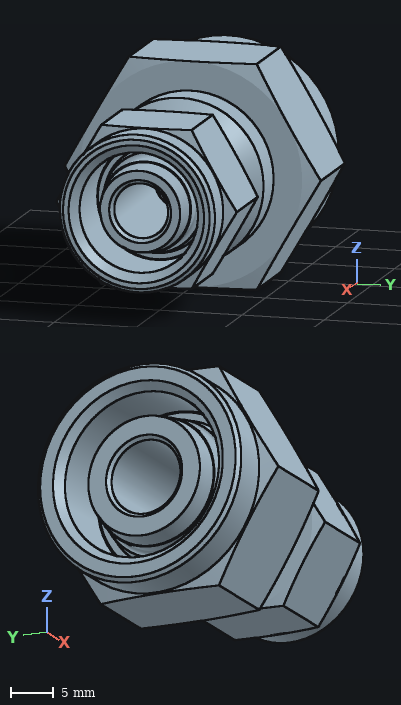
import cadquery as cq
import math

OVERALL_LENGTH = 40.0

LARGE_NUT = {
    "length": 16.5,
    "collar_length": 5.05,
    "across_flats": 27.0,
    "collar_radius": 13.35,
    "bore_radius": 10.1,
}
SMALL_NUT = {
    "length": 13.7,
    "collar_length": 3.95,
    "across_flats": 19.0,
    "collar_radius": 9.45,
    "bore_radius": 7.2,
}

HEX_SIDES = 6
HEX_CHAMFER_ANGLE = 15.0
LIP_CHAMFER_LENGTH = 0.45
LIP_CHAMFER_DEPTH = 0.5
MOUTH_CHAMFER = 1.05

LARGE_BARREL_RADIUS = 10.0
SMALL_BARREL_RADIUS = 7.1
SHOULDER_START = 20.8
SHOULDER_END = 23.7

NOSE_HALF_ANGLE = 12.0
NOSE_RECESS = 1.6
LARGE_TIP_RADIUS = 7.3
LARGE_CONE_BASE_RADIUS = 9.0
SMALL_TIP_RADIUS = 4.9
SMALL_CONE_BASE_RADIUS = 6.35
GROOVE_FRONT_RISE = 0.55
GROOVE_BACK_RISE = 1.15
GROOVE_FLOOR_RISE = 0.5
GROOVE_FILLET = 0.45

LARGE_BORE_RADIUS = 4.5
SMALL_BORE_RADIUS = 3.3
BORE_CHAMFER = 0.5
BORE_CONE_START = 20.0
BORE_CONE_LENGTH = 0.7


def cone_length(rise):
    """Axial length over which a nose cone gains the given radius."""
    return rise / math.tan(math.radians(NOSE_HALF_ANGLE))


def flip_to_small_end(shape):
    """Turn a shape built from x = 0 so that it starts at the small end instead."""
    return shape.rotate((0, 0, 0), (0, 0, 1), 180).translate((OVERALL_LENGTH, 0, 0))


def revolve(profile):
    """Close a profile in the XY plane and turn it round the X axis."""
    return profile.close().revolve(360, (0, 0, 0), (1, 0, 0))


def nose_start(cone_base_radius, tip_radius):
    """Distance from the end of the assembly to the flat face behind the nose."""
    return NOSE_RECESS + cone_length(cone_base_radius - tip_radius)


def make_nut(size, barrel_radius, shoulder):
    """Union nut with its collar at x = 0; behind x = shoulder it fits closely round the barrel."""
    inner_radius = size["across_flats"] / 2
    corner_radius = inner_radius / math.cos(math.pi / HEX_SIDES)
    chamfer_length = (corner_radius - inner_radius) * math.tan(math.radians(HEX_CHAMFER_ANGLE))
    hex_start = size["collar_length"]
    hex_end = size["length"]

    hexagon = (
        cq.Workplane("YZ")
        .polygon(HEX_SIDES, 2 * corner_radius)
        .extrude(hex_end - hex_start)
        .translate((hex_start, 0, 0))
    )
    corner_cutoff = revolve(
        cq.Workplane("XY")
        .moveTo(hex_start, 0)
        .lineTo(hex_start, inner_radius)
        .lineTo(hex_start + chamfer_length, corner_radius)
        .lineTo(hex_end - chamfer_length, corner_radius)
        .lineTo(hex_end, inner_radius)
        .lineTo(hex_end, 0)
    )
    collar = revolve(
        cq.Workplane("XY")
        .lineTo(0, size["collar_radius"] - LIP_CHAMFER_DEPTH)
        .lineTo(LIP_CHAMFER_LENGTH, size["collar_radius"])
        .lineTo(hex_start, size["collar_radius"])
        .lineTo(hex_start, 0)
    )
    bore = revolve(
        cq.Workplane("XY")
        .lineTo(0, size["bore_radius"] + MOUTH_CHAMFER)
        .lineTo(MOUTH_CHAMFER, size["bore_radius"])
        .lineTo(shoulder, size["bore_radius"])
        .lineTo(shoulder, barrel_radius)
        .lineTo(hex_end, barrel_radius)
        .lineTo(hex_end, 0)
    )
    return hexagon.intersect(corner_cutoff).union(collar).cut(bore)


def make_nose(tip_radius, base_radius):
    """Solid sealing cone with its tip at x = NOSE_RECESS, grooved for a seal ring."""
    groove_front = NOSE_RECESS + cone_length(GROOVE_FRONT_RISE)
    groove_back = NOSE_RECESS + cone_length(GROOVE_BACK_RISE)
    floor_radius = tip_radius + GROOVE_FLOOR_RISE
    corner_offset = GROOVE_FILLET * math.sin(math.radians(45))
    base = nose_start(base_radius, tip_radius)
    return revolve(
        cq.Workplane("XY")
        .moveTo(NOSE_RECESS, 0)
        .lineTo(NOSE_RECESS, tip_radius)
        .lineTo(groove_front, tip_radius + GROOVE_FRONT_RISE)
        .lineTo(groove_front, floor_radius)
        .lineTo(groove_back - GROOVE_FILLET, floor_radius)
        .threePointArc(
            (
                groove_back - GROOVE_FILLET + corner_offset,
                floor_radius + GROOVE_FILLET - corner_offset,
            ),
            (groove_back, floor_radius + GROOVE_FILLET),
        )
        .lineTo(groove_back, tip_radius + GROOVE_BACK_RISE)
        .lineTo(base, base_radius)
        .lineTo(base, 0)
    )


def make_barrel(large_shoulder, small_shoulder):
    """Solid middle of the body: large barrel, shoulder cone and small barrel."""
    return revolve(
        cq.Workplane("XY")
        .moveTo(large_shoulder, 0)
        .lineTo(large_shoulder, LARGE_BARREL_RADIUS)
        .lineTo(SHOULDER_START, LARGE_BARREL_RADIUS)
        .lineTo(SHOULDER_END, SMALL_BARREL_RADIUS)
        .lineTo(OVERALL_LENGTH - small_shoulder, SMALL_BARREL_RADIUS)
        .lineTo(OVERALL_LENGTH - small_shoulder, 0)
    )


def make_through_bore():
    """Stepped bore with a chamfered mouth at each nose tip."""
    large_tip = NOSE_RECESS
    small_tip = OVERALL_LENGTH - NOSE_RECESS
    return revolve(
        cq.Workplane("XY")
        .moveTo(large_tip, 0)
        .lineTo(large_tip, LARGE_BORE_RADIUS + BORE_CHAMFER)
        .lineTo(large_tip + BORE_CHAMFER, LARGE_BORE_RADIUS)
        .lineTo(BORE_CONE_START, LARGE_BORE_RADIUS)
        .lineTo(BORE_CONE_START + BORE_CONE_LENGTH, SMALL_BORE_RADIUS)
        .lineTo(small_tip - BORE_CHAMFER, SMALL_BORE_RADIUS)
        .lineTo(small_tip, SMALL_BORE_RADIUS + BORE_CHAMFER)
        .lineTo(small_tip, 0)
    )


def make_body(large_shoulder, small_shoulder):
    """Fitting body: both barrels and both noses as one bored solid."""
    large_nose = make_nose(LARGE_TIP_RADIUS, LARGE_CONE_BASE_RADIUS)
    small_nose = flip_to_small_end(make_nose(SMALL_TIP_RADIUS, SMALL_CONE_BASE_RADIUS))
    barrel = make_barrel(large_shoulder, small_shoulder)
    return barrel.union(large_nose).union(small_nose).cut(make_through_bore())


large_shoulder = nose_start(LARGE_CONE_BASE_RADIUS, LARGE_TIP_RADIUS)
small_shoulder = nose_start(SMALL_CONE_BASE_RADIUS, SMALL_TIP_RADIUS)

body = make_body(large_shoulder, small_shoulder)
large_nut = make_nut(LARGE_NUT, LARGE_BARREL_RADIUS, large_shoulder)
small_nut = flip_to_small_end(make_nut(SMALL_NUT, SMALL_BARREL_RADIUS, small_shoulder))

result = cq.Compound.makeCompound([body.val(), large_nut.val(), small_nut.val()])